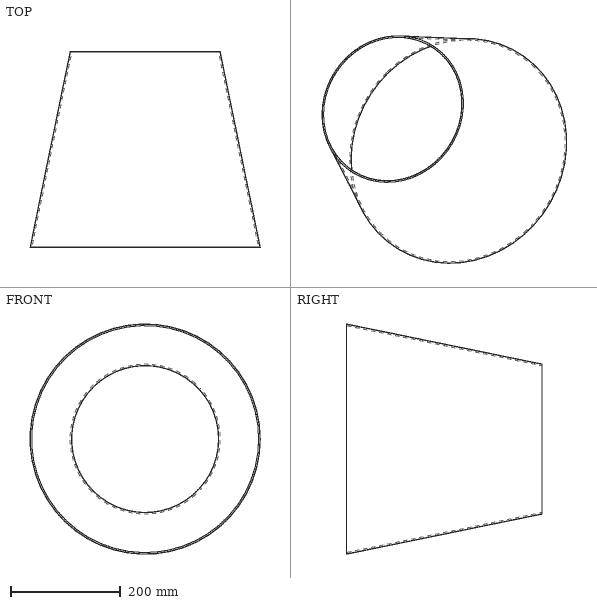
import cadquery as cq
import math

large_diameter = 419.0
small_diameter = 273.0
length = 356.0
wall = 3.0

large_radius = large_diameter / 2
small_radius = small_diameter / 2

half_angle = math.atan((large_radius - small_radius) / length)
end_face_width = wall / math.cos(half_angle)

wall_section = (
    cq.Workplane("XY")
    .moveTo(large_radius - end_face_width, 0)
    .lineTo(large_radius, 0)
    .lineTo(small_radius, length)
    .lineTo(small_radius - end_face_width, length)
    .close()
)

result = wall_section.revolve(360, (0, 0, 0), (0, 1, 0))